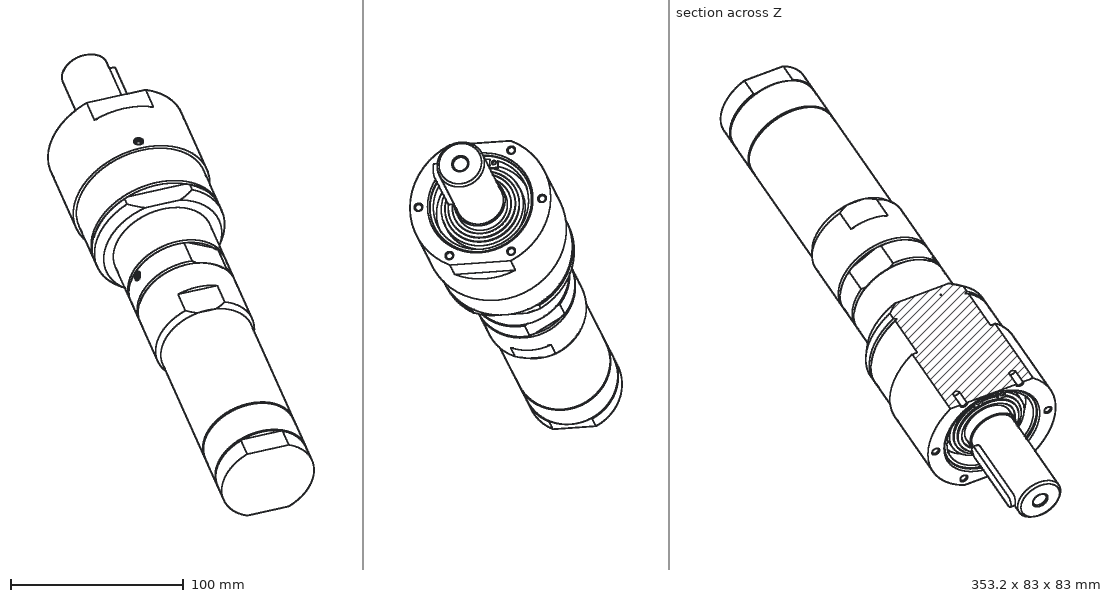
import cadquery as cq
import math

TOTAL_LENGTH = 353.2
COLLAR_START = 60.0
HEAD_START = 61.8
HEAD_FLAT_END = 76.5
HEAD_END = 110.5
GEAR_CASE_END = 139.5
CONE_START = 145.0
FLANGE_END = 151.0
GRIP_START = 180.0
GRIP_END = 197.8
SLEEVE_FLAT_START = 218.3
SLEEVE_CONE_START = 232.5
MOTOR_START = 236.3
MOTOR_SEAM = 317.0
MOTOR_FLAT_START = 341.0

SHAFT_DIAMETER = 28.0
COLLAR_DIAMETER = 30.0
HEAD_DIAMETER = 83.0
GEAR_CASE_DIAMETER = 79.0
FLANGE_END_DIAMETER = 71.7
SLEEVE_DIAMETER = 60.0
MOTOR_DIAMETER = 56.0

SHAFT_CHAMFER = 1.5
CASE_CHAMFER = 1.0
SEAM_HALF_WIDTH = 1.0
SEAM_DEPTH = 1.0
FINE_SEAM_HALF_WIDTH = 0.53
FINE_SEAM_DEPTH = 0.5

HEAD_FLATS = 75.0
FLANGE_FLATS = 68.5
SLEEVE_FLATS = 55.0
MOTOR_FLATS = 50.0
GRIP_FLAT_ANGLE = 60.0

KEY_START = 4.2
KEY_LENGTH = 50.0
KEY_WIDTH = 8.0
KEY_RISE = 3.0
KEY_SEAT_DEPTH = 3.5

CENTRE_HOLE_DIAMETER = 8.5
CENTRE_SINK_DIAMETER = 10.0
CENTRE_HOLE_DEPTH = 21.2
BOLT_COUNT = 6
BOLT_CIRCLE_DIAMETER = 72.8
BOLT_HOLE_DIAMETER = 4.0
BOLT_SINK_DIAMETER = 5.0
BOLT_HOLE_DEPTH = 10.0
DRILL_POINT_ANGLE = 118.0
SCREW_SINK_DIAMETER = 5.5
SCREW_HOLE_DIAMETER = 5.0
SCREW_SOCKET_DIAMETER = 2.5
SCREW_RECESS = 1.5
SCREW_SOCKET_DEPTH = 2.5
HEAD_SCREW_X = 105.0
GRIP_SCREW_X = 184.7
GRIP_SCREW_ANGLE = 150.0

RECESS_MOUTH_DIAMETER = 62.0
RECESS_DIAMETER = 60.0
RING_INNER_DIAMETER = 56.0
MOAT_INNER_DIAMETER = 48.5
SHIELD_DIAMETER = 43.8
SEAL_OUTER_DIAMETER = 39.5
SEAL_INNER_DIAMETER = 34.5
RING_DEPTH = 2.0
MOAT_DEPTH = 12.0
SEAL_FLOOR_DEPTH = 5.3
SHIELD_DEPTH = 6.5
SEAL_LIP_DEPTH = 4.2

LUG_THICKNESS = 1.8
LUG_INNER_Y = 5.3
LUG_OUTER_Y = 10.0
LUG_BOTTOM_Z = 22.3
LUG_HOLE_Z = 25.5
LUG_HOLE_DIAMETER = 2.5


def seam(x, radius, half_width, depth):
    """Profile points of a V groove centred at x on a cylinder."""
    return [(x - half_width, radius), (x, radius - depth), (x + half_width, radius)]


def turned_profile():
    """Outer half-profile of the spindle as (axial, radial) points."""
    shaft = SHAFT_DIAMETER / 2
    collar = COLLAR_DIAMETER / 2
    head = HEAD_DIAMETER / 2
    case = GEAR_CASE_DIAMETER / 2
    sleeve = SLEEVE_DIAMETER / 2
    motor = MOTOR_DIAMETER / 2
    return [
        (0, 0),
        (0, shaft - SHAFT_CHAMFER),
        (SHAFT_CHAMFER, shaft),
        (COLLAR_START, shaft),
        (COLLAR_START, collar),
        (HEAD_START, collar),
        (HEAD_START, head),
        (HEAD_END, head),
        (HEAD_END, case),
        *seam(GEAR_CASE_END, case, CASE_CHAMFER, CASE_CHAMFER),
        (CONE_START, case),
        (FLANGE_END, FLANGE_END_DIAMETER / 2),
        (FLANGE_END, sleeve),
        *seam(GRIP_START, sleeve, SEAM_HALF_WIDTH, SEAM_DEPTH),
        *seam(GRIP_END, sleeve, SEAM_HALF_WIDTH, SEAM_DEPTH),
        (SLEEVE_CONE_START, sleeve),
        (MOTOR_START, motor),
        *seam(MOTOR_SEAM, motor, FINE_SEAM_HALF_WIDTH, FINE_SEAM_DEPTH),
        *seam(MOTOR_FLAT_START, motor, FINE_SEAM_HALF_WIDTH, FINE_SEAM_DEPTH),
        (TOTAL_LENGTH, motor),
        (TOTAL_LENGTH, 0),
    ]


def revolve_about_x(points):
    return cq.Workplane("XY").polyline(points).close().revolve(360, (0, 0, 0), (1, 0, 0))


def flat_pair(start, end, across, angle=90.0):
    """Cutter for two opposite flats; angle is measured from +Y towards +Z."""
    length = end - start
    depth = HEAD_DIAMETER
    slab = cq.Workplane("XY").box(length, depth, 2 * HEAD_DIAMETER)
    slab = slab.translate(((start + end) / 2, (across + depth) / 2, 0))
    opposite = slab.mirror("XZ")
    return slab.union(opposite).rotate((0, 0, 0), (1, 0, 0), angle)


def drill(diameter, sink_diameter, depth):
    """Countersunk drill along +X from the origin, with a conical point."""
    radius = diameter / 2
    sink = sink_diameter / 2
    point = radius / math.tan(math.radians(DRILL_POINT_ANGLE / 2))
    return revolve_about_x(
        [(0, 0), (0, sink), (sink - radius, radius), (depth, radius), (depth + point, 0)]
    )


def bearing_recess():
    """Stepped annular recess between the head bore and the shaft collar."""
    mouth = RECESS_MOUTH_DIAMETER / 2
    bore = RECESS_DIAMETER / 2
    ring = RING_INNER_DIAMETER / 2
    moat = MOAT_INNER_DIAMETER / 2
    shield = SHIELD_DIAMETER / 2
    seal_outer = SEAL_OUTER_DIAMETER / 2
    seal_inner = SEAL_INNER_DIAMETER / 2
    collar = COLLAR_DIAMETER / 2
    steps = [
        (0, collar),
        (0, mouth),
        (mouth - bore, bore),
        (RING_DEPTH, bore),
        (RING_DEPTH, ring),
        (MOAT_DEPTH, ring),
        (MOAT_DEPTH, moat),
        (SHIELD_DEPTH, moat),
        (SHIELD_DEPTH, shield),
        (SEAL_FLOOR_DEPTH, shield),
        (SEAL_FLOOR_DEPTH, seal_outer),
        (SEAL_LIP_DEPTH, seal_outer),
        (SEAL_LIP_DEPTH, seal_inner),
        (SEAL_FLOOR_DEPTH, seal_inner),
        (SEAL_FLOOR_DEPTH, collar),
    ]
    return revolve_about_x(steps).translate((HEAD_START, 0, 0))


def ring_lugs():
    """Two drilled lugs of the retaining ring, joined to the recess wall."""
    lug_top = RECESS_DIAMETER / 2
    lug_y = (LUG_INNER_Y + LUG_OUTER_Y) / 2
    lug_z = (LUG_BOTTOM_Z + lug_top) / 2
    face = cq.Workplane("YZ", origin=(HEAD_START + RING_DEPTH, 0, 0))
    lugs = face.pushPoints([(-lug_y, lug_z), (lug_y, lug_z)])
    lugs = lugs.rect(LUG_OUTER_Y - LUG_INNER_Y, lug_top - LUG_BOTTOM_Z).extrude(LUG_THICKNESS)
    holes = face.pushPoints([(-lug_y, LUG_HOLE_Z), (lug_y, LUG_HOLE_Z)])
    return lugs.cut(holes.circle(LUG_HOLE_DIAMETER / 2).extrude(LUG_THICKNESS))


def shaft_key():
    """Round-ended key seated in the shaft."""
    bottom = SHAFT_DIAMETER / 2 - KEY_SEAT_DEPTH
    key = cq.Workplane("XZ", origin=(KEY_START + KEY_LENGTH / 2, bottom, 0))
    return key.slot2D(KEY_LENGTH, KEY_WIDTH).extrude(-(KEY_SEAT_DEPTH + KEY_RISE))


def set_screw_hole(x, surface_radius, angle):
    """Radial screw hole with the socket of the sunken screw in its floor."""
    sink = SCREW_SINK_DIAMETER / 2
    hole = SCREW_HOLE_DIAMETER / 2
    socket = SCREW_SOCKET_DIAMETER / 2
    floor = SCREW_RECESS + SCREW_SOCKET_DEPTH
    cutter = revolve_about_x(
        [
            (-SCREW_RECESS, 0),
            (-SCREW_RECESS, sink),
            (0, sink),
            (sink - hole, hole),
            (SCREW_RECESS, hole),
            (SCREW_RECESS, socket),
            (floor, socket),
            (floor, 0),
        ]
    )
    cutter = cutter.rotate((0, 0, 0), (0, 0, 1), 180).translate((surface_radius, 0, 0))
    cutter = cutter.rotate((0, 0, 0), (0, 0, 1), 90)
    return cutter.rotate((0, 0, 0), (1, 0, 0), angle).translate((x, 0, 0))


body = revolve_about_x(turned_profile())
body = body.cut(flat_pair(HEAD_START, HEAD_FLAT_END, HEAD_FLATS))
body = body.cut(flat_pair(GEAR_CASE_END, FLANGE_END, FLANGE_FLATS))
body = body.cut(flat_pair(GRIP_START, GRIP_END, SLEEVE_FLATS, GRIP_FLAT_ANGLE))
body = body.cut(flat_pair(SLEEVE_FLAT_START, MOTOR_START, SLEEVE_FLATS))
body = body.cut(flat_pair(MOTOR_FLAT_START, TOTAL_LENGTH, MOTOR_FLATS))

body = body.cut(bearing_recess())
body = body.union(ring_lugs())
body = body.union(shaft_key())
body = body.cut(drill(CENTRE_HOLE_DIAMETER, CENTRE_SINK_DIAMETER, CENTRE_HOLE_DEPTH))

bolt_drill = drill(BOLT_HOLE_DIAMETER, BOLT_SINK_DIAMETER, BOLT_HOLE_DEPTH)
bolt_drill = bolt_drill.translate((HEAD_START, BOLT_CIRCLE_DIAMETER / 2, 0))
for index in range(BOLT_COUNT):
    body = body.cut(bolt_drill.rotate((0, 0, 0), (1, 0, 0), index * 360 / BOLT_COUNT))

body = body.cut(set_screw_hole(HEAD_SCREW_X, HEAD_DIAMETER / 2, 90.0))
body = body.cut(set_screw_hole(GRIP_SCREW_X, SLEEVE_DIAMETER / 2, GRIP_SCREW_ANGLE))

result = body